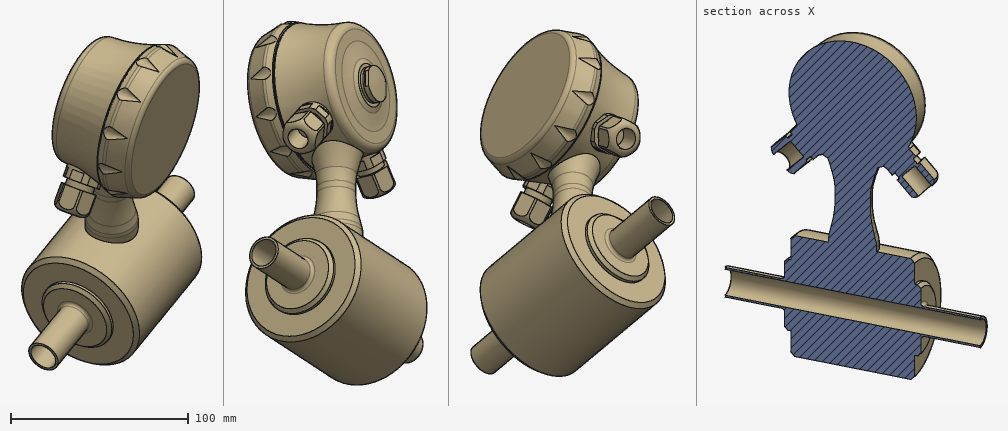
import cadquery as cq
import math


BODY_DIA = 76.1
BODY_LENGTH = 77.0
BODY_CHAMFER = 2.5
HUB_DIA = 45.0
HUB_LENGTH = 84.5
HUB_CHAMFER = 2.0
PIPE_DIA = 19.0
PIPE_LENGTH = 158.0
PIPE_FILLET = 1.9
BORE_DIA = 16.0

NECK_BASE_RADIUS = 30.0 / 2
NECK_WAIST_RADIUS = 22.0 / 2
NECK_ROUND_RADIUS = 14.7
NECK_CONE_RADIUS = 13.5
NECK_THROAT_RADIUS = 11.5
NECK_TOP_RADIUS = 16.0
NECK_STRAIGHT_TOP = 41.0
NECK_ROUND_TOP = 43.5
NECK_SHOULDER_TOP = 48.5
NECK_WAIST_BOTTOM = 65.0
NECK_WAIST_TOP = 68.8
NECK_THROAT_TOP = 77.0
NECK_TOP = 91.5
SHOULDER_BULGE = 0.1
WAIST_FLARE = 0.53
THROAT_FLARE = 0.17
TOP_FLARE = 0.32

HEAD_HEIGHT = 126.8
BACK_X = -19.3
BACK_FILLET = 4.8
HOUSING_BACK_RADIUS = 37.8
HOUSING_FRONT_RADIUS = 43.5
HOUSING_MID_RADIUS = 39.5
HOUSING_FRONT_X = 14.7
DOME_OUTER_RADIUS = 26.0
DOME_BEND_RADIUS = 15.8
DOME_INNER_RADIUS = 12.6
DOME_BEND_X = -20.8
DOME_TOP_X = -22.0

GROOVE_RADIUS = 42.9
BEZEL_BACK_X = 15.5
BEZEL_BACK_RADIUS = 88.0 / 2
BEZEL_CREST_RADIUS = 45.5
CREST_BACK_X = 19.3
CREST_FRONT_X = 21.2
CREST_BULGE = 0.2
BEZEL_EDGE_X = 32.0
BEZEL_EDGE_RADIUS = 42.0
BEZEL_FRONT_X = 34.5
BEZEL_FACE_RADIUS = 39.1
EDGE_ROUND_X = 33.9
EDGE_ROUND_RADIUS = 40.8

NOTCH_COUNT = 12
NOTCH_TIP_X = 30.7
NOTCH_TIP_RADIUS = 42.5
NOTCH_HALF_ANGLE = 25.5
NOTCH_LEAN = 33.0
NOTCH_CONE_LENGTH = 19.0

PLUG_DIA = 21.0
PLUG_NECK_DIA = 20.8
PLUG_HEAD_X = -23.8
PLUG_RIM_X = -27.0
PLUG_TIP_X = -27.5
PLUG_FLAT_WIDTH = 18.7
PLUG_FLAT_LENGTH = 2.0

GLAND_X = -1.9
GLAND_TILT = 135.0
GLAND_DIA = 22.0
NUT_FLATS = 20.8
GLAND_ROOT = 35.7
NUT_START = 39.3
NUT_END = 45.0
COLLAR_DIA = 16.6
CAP_FLATS = 19.8
CAP_START = 48.8
CAP_END = 63.5
GLAND_HOLE_DIA = 12.0
GLAND_HOLE_DEPTH = CAP_END - CAP_START


def rod_along_y(diameter, length):
    """Cylinder on the pipe axis, centred on the origin."""
    return cq.Workplane("XZ", origin=(0, length / 2, 0)).circle(diameter / 2).extrude(length)


def make_meter_body():
    body = rod_along_y(BODY_DIA, BODY_LENGTH).edges().chamfer(BODY_CHAMFER)
    hub = rod_along_y(HUB_DIA, HUB_LENGTH).edges().chamfer(HUB_CHAMFER)
    pipe = rod_along_y(PIPE_DIA, PIPE_LENGTH)
    joined = hub.union(pipe)
    half_fillet = PIPE_FILLET / 2
    for side in (-1, 1):
        hub_face = side * HUB_LENGTH / 2
        joint_box = cq.selectors.BoxSelector(
            (-PIPE_DIA, hub_face - half_fillet, -PIPE_DIA),
            (PIPE_DIA, hub_face + half_fillet, PIPE_DIA),
            boundingbox=True,
        )
        joined = joined.edges(joint_box).fillet(PIPE_FILLET)
    return body.union(joined)


def midpoint_inset(start, end, inset):
    """Arc point halfway between two points, moved by inset towards the axis."""
    return ((start[0] + end[0]) / 2 - inset, (start[1] + end[1]) / 2)


def make_neck():
    base = (NECK_BASE_RADIUS, NECK_STRAIGHT_TOP)
    rounded = (NECK_ROUND_RADIUS, NECK_ROUND_TOP)
    shoulder = (NECK_CONE_RADIUS, NECK_SHOULDER_TOP)
    waist_low = (NECK_WAIST_RADIUS, NECK_WAIST_BOTTOM)
    waist_high = (NECK_WAIST_RADIUS, NECK_WAIST_TOP)
    throat = (NECK_THROAT_RADIUS, NECK_THROAT_TOP)
    top = (NECK_TOP_RADIUS, NECK_TOP)
    return (
        cq.Workplane("XZ")
        .lineTo(NECK_BASE_RADIUS, 0)
        .lineTo(*base)
        .threePointArc(midpoint_inset(base, rounded, -SHOULDER_BULGE), rounded)
        .lineTo(*shoulder)
        .threePointArc(midpoint_inset(shoulder, waist_low, WAIST_FLARE), waist_low)
        .lineTo(*waist_high)
        .threePointArc(midpoint_inset(waist_high, throat, THROAT_FLARE), throat)
        .threePointArc(midpoint_inset(throat, top, TOP_FLARE), top)
        .lineTo(NECK_TOP_RADIUS, HEAD_HEIGHT)
        .lineTo(0, HEAD_HEIGHT)
        .close()
        .revolve(360, (0, 0), (0, 1))
    )


def make_housing():
    """Housing, bezel and domed back turned about the X axis."""
    fillet_reach = BACK_FILLET * (1 - math.sqrt(0.5))
    housing_mid_x = (BACK_X + BACK_FILLET + HOUSING_FRONT_X) / 2
    dome_mid_radius = (DOME_OUTER_RADIUS + DOME_BEND_RADIUS) / 2
    dome_mid_x = BACK_X + (DOME_BEND_X - BACK_X) / 4
    crest_mid_x = (CREST_BACK_X + CREST_FRONT_X) / 2
    return (
        cq.Workplane("XY")
        .moveTo(DOME_TOP_X, 0)
        .lineTo(DOME_TOP_X, DOME_INNER_RADIUS)
        .lineTo(DOME_BEND_X, DOME_BEND_RADIUS)
        .threePointArc((dome_mid_x, dome_mid_radius), (BACK_X, DOME_OUTER_RADIUS))
        .lineTo(BACK_X, HOUSING_BACK_RADIUS - BACK_FILLET)
        .threePointArc(
            (BACK_X + fillet_reach, HOUSING_BACK_RADIUS - fillet_reach),
            (BACK_X + BACK_FILLET, HOUSING_BACK_RADIUS),
        )
        .threePointArc((housing_mid_x, HOUSING_MID_RADIUS), (HOUSING_FRONT_X, HOUSING_FRONT_RADIUS))
        .lineTo(HOUSING_FRONT_X, GROOVE_RADIUS)
        .lineTo(BEZEL_BACK_X, GROOVE_RADIUS)
        .lineTo(BEZEL_BACK_X, BEZEL_BACK_RADIUS)
        .lineTo(CREST_BACK_X, BEZEL_CREST_RADIUS)
        .threePointArc(
            (crest_mid_x, BEZEL_CREST_RADIUS + CREST_BULGE),
            (CREST_FRONT_X, BEZEL_CREST_RADIUS),
        )
        .lineTo(BEZEL_EDGE_X, BEZEL_EDGE_RADIUS)
        .threePointArc((EDGE_ROUND_X, EDGE_ROUND_RADIUS), (BEZEL_FRONT_X, BEZEL_FACE_RADIUS))
        .lineTo(BEZEL_FRONT_X, 0)
        .close()
        .revolve(360, (0, 0), (1, 0))
    )


def make_notch_cutter():
    """Cone with its tip on the bezel, widening backwards and outwards."""
    cone = (
        cq.Workplane("XY")
        .lineTo(-NOTCH_CONE_LENGTH, 0)
        .lineTo(-NOTCH_CONE_LENGTH, NOTCH_CONE_LENGTH * math.tan(math.radians(NOTCH_HALF_ANGLE)))
        .close()
        .revolve(360, (0, 0), (1, 0))
    )
    return cone.rotate((0, 0, 0), (0, 1, 0), NOTCH_LEAN).translate((NOTCH_TIP_X, 0, NOTCH_TIP_RADIUS))


def cut_notches(housing):
    cutter = make_notch_cutter()
    for index in range(NOTCH_COUNT):
        housing = housing.cut(cutter.rotate((0, 0, 0), (1, 0, 0), index * 360 / NOTCH_COUNT))
    return housing


def make_plug():
    """Round plug with two wrench flats and a shallow pointed end."""
    plug = (
        cq.Workplane("XY")
        .moveTo(BACK_X, 0)
        .lineTo(BACK_X, PLUG_NECK_DIA / 2)
        .lineTo(PLUG_HEAD_X, PLUG_NECK_DIA / 2)
        .lineTo(PLUG_HEAD_X, PLUG_DIA / 2)
        .lineTo(PLUG_RIM_X, PLUG_DIA / 2)
        .lineTo(PLUG_TIP_X, 0)
        .close()
        .revolve(360, (0, 0), (1, 0))
    )
    flat_end_x = PLUG_RIM_X + PLUG_FLAT_LENGTH
    for side in (-1, 1):
        flat_cutter = cq.Workplane("XY").box(PLUG_DIA, PLUG_DIA, PLUG_DIA).translate(
            (flat_end_x - PLUG_DIA / 2, side * (PLUG_FLAT_WIDTH + PLUG_DIA) / 2, 0)
        )
        plug = plug.cut(flat_cutter)
    return plug


def disc_along_z(diameter, start, end):
    return cq.Workplane("XY").workplane(offset=start).circle(diameter / 2).extrude(end - start)


def trimmed_hexagon(flats, start, end):
    """Hexagonal prism along Z with its corners turned down to the gland diameter."""
    corner_dia = flats / math.cos(math.pi / 6)
    hexagon = cq.Workplane("XY").workplane(offset=start).polygon(6, corner_dia).extrude(end - start)
    return hexagon.intersect(disc_along_z(GLAND_DIA, start, end))


def make_gland():
    """Cable gland along +Z from the head axis: round seat, fixed nut, collar and rounded cap."""
    nut = trimmed_hexagon(NUT_FLATS, NUT_START, NUT_END)
    seat = disc_along_z(GLAND_DIA, GLAND_ROOT, NUT_START)
    collar = disc_along_z(COLLAR_DIA, NUT_END, CAP_START)
    cap_round = (GLAND_DIA - GLAND_HOLE_DIA) / 2
    rounded_rod = disc_along_z(GLAND_DIA, CAP_START, CAP_END).faces(">Z").edges().fillet(cap_round)
    cap = trimmed_hexagon(CAP_FLATS, CAP_START, CAP_END).intersect(rounded_rod)
    hole = disc_along_z(GLAND_HOLE_DIA, CAP_END - GLAND_HOLE_DEPTH, CAP_END)
    return seat.union(nut).union(collar).union(cap).cut(hole)


def make_head():
    head = cut_notches(make_housing()).union(make_plug())
    gland = make_gland().translate((GLAND_X, 0, 0))
    for side in (-1, 1):
        head = head.union(gland.rotate((0, 0, 0), (1, 0, 0), side * GLAND_TILT))
    return head.translate((0, 0, HEAD_HEIGHT))


meter = make_meter_body().union(make_neck()).union(make_head())
result = meter.cut(rod_along_y(BORE_DIA, PIPE_LENGTH))